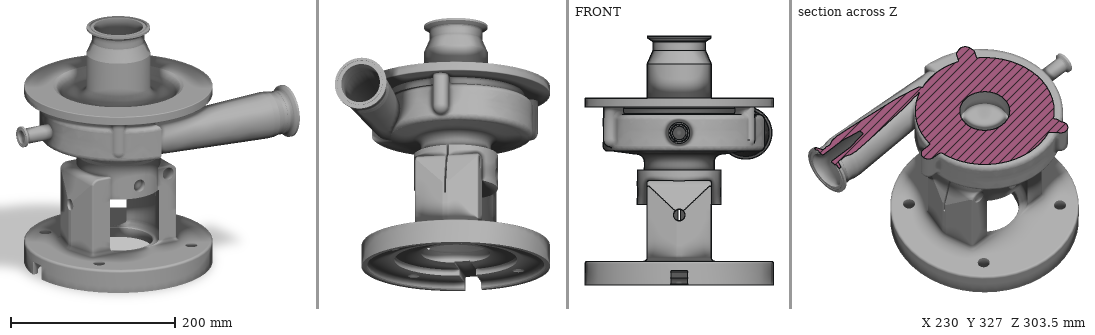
import cadquery as cq
import math

PICK_MARGIN = 0.5
MID_ARC = math.sqrt(0.5)

FLANGE_R = 115.0
BASE_H = 29.0
BASE_EDGE_R = 3.0
BASE_BORE_R = 42.0
BASE_BORE_CHAMFER = 1.0
BOLT_CIRCLE_R = 92.0
BOLT_HOLE_R = 7.3
BOLT_COUNT = 4
PILOT_R = 108.0
PILOT_DEPTH = 8.6
PILOT_ROOT_R = 4.5
PILOT_CHAMFER = 1.3
RELIEF_R = 75.0
RELIEF_DEPTH = 16.2
NOTCH_W = 20.6
NOTCH_H = 17.8
NOTCH_CORNER_R = 1.5

LEG_HALF_W = 39.3
LEG_TOP_Z = 127.2
LEG_SHOULDER_Y = 59.2
LEG_RIDGE_Y = 68.8
LEG_INNER_R = 52.3
LEG_INNER_FOOT_R = 6.5
RIDGE_HALF_W = 2.9
RIDGE_TOP_Z = 88.5
SLANT_TOP_Z = 123.0
LEG_CORNER_R = 2.5
LEG_CREST_R = 11.0
LEG_TOP_SIDE_R = 2.5
LEG_FOOT_R = 4.0
LEG_HOLE_R = 7.0
LEG_HOLE_Z = 85.4
CLAMP_HOLE_R = 7.6
CLAMP_HOLE_Y = 47.4
CLAMP_HOLE_Z = 116.8
CLAMP_SLIT_W = 2.7
CLAMP_SLIT_BOTTOM_Z = 75.0

COLLAR_R = 51.2
COLLAR_BOTTOM_Z = 98.0
COLLAR_TOP_Z = 140.3
COLLAR_HOLE_R = 7.8
COLLAR_HOLE_Z = 113.4
COLLAR_HOLE_DEPTH = 8.0
NECK_R = 42.7
NECK_FILLET_R = 9.5
NECK_STRAIGHT_TOP_Z = 150.0

VOLUTE_START_R = 83.5
VOLUTE_GROWTH = 20.7
VOLUTE_GROWTH_POWER = 1.15
VOLUTE_BOTTOM_Z = 163.2
VOLUTE_TOP_Z = 208.0
VOLUTE_BOTTOM_EDGE_R = 6.0
VOLUTE_TOP_EDGE_R = 6.5
BELLY_R = 80.0
RING_R = 84.0
RING_FOOT = 1.3
GASKET_R = 83.2
GASKET_BOTTOM_Z = 215.3
PLATE_BOTTOM_Z = 216.8

STANDOFF_R = 9.1
STANDOFF_CIRCLE_R = 96.0
STANDOFF_BOTTOM_Z = 168.0
STANDOFF_ANGLES = (90, 210, 330)
STANDOFF_ROOT_R = 70.0
STANDOFF_FILLET_R = 4.0
WEB_JOINT_MIN_H = 15.0

PLATE_TOP_Z = 227.8
PLATE_EDGE_R = 1.0
DISH_RIM_R = 79.4
DISH_WALL_R = 76.0
DISH_RIM_DROP = 2.0
DISH_WALL_FOOT_R = 71.0
DISH_FLOOR_R = 63.0
DISH_FLOOR_Z = 217.0
DISH_CORNER_H = 4.0

PORT_AXIS_Z = 185.4
INLET_R = 39.1
INLET_ROOT_R = 10.0
INLET_CONE_BOTTOM_Z = 269.7
INLET_CONE_TOP_Z = 285.7
INLET_NECK_R = 32.2
INLET_TOP_Z = 303.5
INLET_BORE_R = 30.2
INLET_FERRULE_R = 38.7
INLET_RIM_T = 2.5
INLET_CONE_H = 3.6

OUTLET_X = 81.0
OUTLET_END_Y = 190.2
OUTLET_NECK_R = 26.6
OUTLET_NECK_START_Y = 172.0
WELD_BEAD_START_Y = 176.6
WELD_BEAD_END_Y = 180.0
WELD_BEAD_H = 0.3
OUTLET_SHOULDER_Y = 164.7
OUTLET_SHOULDER_R = 28.2
OUTLET_BULGE_Y = 156.6
OUTLET_BULGE_R = 28.6
OUTLET_ROOT_R = 21.8
OUTLET_BORE_R = 24.0
OUTLET_BORE_END_R = 20.0
OUTLET_BORE_END_Y = 40.0
OUTLET_FERRULE_R = 32.0
OUTLET_RIM_T = 2.8
OUTLET_CONE_H = 3.4

VENT_R = 9.5
VENT_BORE_R = 8.2
VENT_ROOT_Y = -90.0
VENT_END_Y = -136.8
VENT_FERRULE_R = 12.8
VENT_RIM_T = 2.8
VENT_CONE_H = 2.4

GROOVE_SHARE = 0.22
FERRULE_ROOT = 1.2


def cylinder(radius, bottom, top):
    """Vertical cylinder on the main axis."""
    return cq.Workplane("XY").workplane(offset=bottom).circle(radius).extrude(top - bottom)


def revolve_outline(outline):
    """Solid of revolution about the local axis from a closed radius-height outline."""
    return outline.close().revolve(360, (0, 0, 0), (0, 1, 0))


def ferrule(rim_r, neck_r, bore_r, rim_t, cone_h):
    """Clamp ferrule with its face on Z = 0 and its tube side toward -Z."""
    groove_mid_r = (rim_r + bore_r) / 2
    groove_half_w = (rim_r - bore_r) * GROOVE_SHARE / 2
    groove_depth = groove_half_w
    body = revolve_outline(
        cq.Workplane("XZ")
        .moveTo(0, 0)
        .lineTo(rim_r, 0)
        .lineTo(rim_r, -rim_t)
        .lineTo(neck_r + FERRULE_ROOT / 2, -rim_t - cone_h)
        .lineTo(neck_r, -rim_t - cone_h - FERRULE_ROOT)
        .lineTo(0, -rim_t - cone_h - FERRULE_ROOT)
    )
    groove = (
        cq.Workplane("XY")
        .circle(groove_mid_r + groove_half_w)
        .circle(groove_mid_r - groove_half_w)
        .extrude(-groove_depth)
    )
    return body.cut(groove)


def base_flange():
    base = cylinder(FLANGE_R, 0, BASE_H).faces(">Z").edges().fillet(BASE_EDGE_R)
    bolts = (
        cq.Workplane("XY")
        .polarArray(BOLT_CIRCLE_R, 180 / BOLT_COUNT, 360, BOLT_COUNT)
        .circle(BOLT_HOLE_R)
        .extrude(BASE_H)
    )
    pilot = cylinder(PILOT_R, 0, PILOT_DEPTH).faces(">Z").edges().fillet(PILOT_ROOT_R)
    mouth = revolve_outline(
        cq.Workplane("XZ")
        .moveTo(0, 0)
        .lineTo(PILOT_R + PILOT_CHAMFER, 0)
        .lineTo(PILOT_R, PILOT_CHAMFER)
        .lineTo(0, PILOT_CHAMFER)
    )
    relief = cylinder(RELIEF_R, 0, RELIEF_DEPTH)
    notch = (
        cq.Workplane("XY")
        .box(NOTCH_W, FLANGE_R, NOTCH_H, centered=(True, False, False))
        .translate((0, -FLANGE_R, 0))
        .edges("|Y and >Z")
        .fillet(NOTCH_CORNER_R)
    )
    return base.cut(bolts).cut(pilot).cut(mouth).cut(relief).cut(notch)


def leg():
    """Leg on the +Y side: wedge-shaped outer face with a slanted, rounded crest."""
    block = (
        cq.Workplane("XY")
        .workplane(offset=BASE_H)
        .moveTo(-LEG_HALF_W, 0)
        .lineTo(LEG_HALF_W, 0)
        .lineTo(LEG_HALF_W, LEG_SHOULDER_Y)
        .lineTo(RIDGE_HALF_W, LEG_RIDGE_Y)
        .lineTo(-RIDGE_HALF_W, LEG_RIDGE_Y)
        .lineTo(-LEG_HALF_W, LEG_SHOULDER_Y)
        .close()
        .extrude(LEG_TOP_Z - BASE_H)
    )
    slant = (LEG_RIDGE_Y - LEG_SHOULDER_Y) / (SLANT_TOP_Z - RIDGE_TOP_Z)
    crest_y = LEG_SHOULDER_Y - slant * (LEG_TOP_Z - SLANT_TOP_Z)
    side_profile = (
        cq.Workplane("YZ")
        .moveTo(0, BASE_H)
        .lineTo(LEG_RIDGE_Y, BASE_H)
        .lineTo(LEG_RIDGE_Y, RIDGE_TOP_Z)
        .lineTo(crest_y, LEG_TOP_Z)
        .lineTo(0, LEG_TOP_Z)
        .close()
        .extrude(LEG_HALF_W, both=True)
        .edges(cq.selectors.NearestToPointSelector((0, crest_y, LEG_TOP_Z)))
        .fillet(LEG_CREST_R)
        .faces("<X or >X")
        .edges(">Z")
        .fillet(LEG_TOP_SIDE_R)
    )
    outer_corners = cq.selectors.BoxSelector(
        (-LEG_HALF_W - PICK_MARGIN, LEG_SHOULDER_Y - PICK_MARGIN, BASE_H),
        (LEG_HALF_W + PICK_MARGIN, LEG_SHOULDER_Y + PICK_MARGIN, LEG_TOP_Z),
    )
    return block.edges(outer_corners).fillet(LEG_CORNER_R).intersect(side_profile)


def pedestal():
    """Base flange with both legs, foot fillets, the round gap between the legs and the bore."""
    rear_leg = leg()
    front_leg = rear_leg.rotate((0, 0, 0), (0, 0, 1), 180)
    legs = rear_leg.union(front_leg)
    body = base_flange().union(legs)
    foot_edges = cq.selectors.BoxSelector(
        (-LEG_HALF_W - PICK_MARGIN, -LEG_RIDGE_Y - PICK_MARGIN, BASE_H - PICK_MARGIN),
        (LEG_HALF_W + PICK_MARGIN, LEG_RIDGE_Y + PICK_MARGIN, BASE_H + PICK_MARGIN),
    )
    body = body.edges(foot_edges).fillet(LEG_FOOT_R)
    leg_gap = cylinder(LEG_INNER_R, BASE_H, COLLAR_BOTTOM_Z)
    leg_gap = leg_gap.faces("<Z").edges().fillet(LEG_INNER_FOOT_R)
    bore = cylinder(BASE_BORE_R, 0, BASE_H)
    bore_lip = revolve_outline(
        cq.Workplane("XZ")
        .moveTo(0, BASE_H)
        .lineTo(BASE_BORE_R + BASE_BORE_CHAMFER, BASE_H)
        .lineTo(BASE_BORE_R, BASE_H - BASE_BORE_CHAMFER)
        .lineTo(0, BASE_H - BASE_BORE_CHAMFER)
    )
    sight_hole = (
        cq.Workplane("XZ").center(0, LEG_HOLE_Z).circle(LEG_HOLE_R).extrude(FLANGE_R)
    )
    return body.cut(leg_gap).cut(bore).cut(bore_lip).cut(sight_hole)


def collar():
    body = cylinder(COLLAR_R, COLLAR_BOTTOM_Z, COLLAR_TOP_Z)
    for side in (-1, 1):
        hole = (
            cq.Workplane("YZ")
            .workplane(offset=side * COLLAR_R)
            .center(0, COLLAR_HOLE_Z)
            .circle(COLLAR_HOLE_R)
            .extrude(-side * COLLAR_HOLE_DEPTH)
        )
        body = body.cut(hole)
    return body


def clamp_cut():
    """Bolt hole and slit that let the +Y leg clamp the collar."""
    bolt_hole = (
        cq.Workplane("YZ")
        .center(CLAMP_HOLE_Y, CLAMP_HOLE_Z)
        .circle(CLAMP_HOLE_R)
        .extrude(LEG_HALF_W, both=True)
    )
    slit = (
        cq.Workplane("XY")
        .box(
            CLAMP_SLIT_W,
            LEG_RIDGE_Y - NECK_R,
            COLLAR_TOP_Z - CLAMP_SLIT_BOTTOM_Z,
            centered=(True, False, False),
        )
        .translate((0, NECK_R, CLAMP_SLIT_BOTTOM_Z))
    )
    return bolt_hole.union(slit)


def volute():
    """Spiral casing whose radius grows counter-clockwise over one turn from +X."""

    def spiral_point(turn):
        radius = VOLUTE_START_R + VOLUTE_GROWTH * turn**VOLUTE_GROWTH_POWER
        angle = 2 * math.pi * turn
        return (radius * math.cos(angle), radius * math.sin(angle))

    return (
        cq.Workplane("XY")
        .workplane(offset=VOLUTE_BOTTOM_Z)
        .parametricCurve(spiral_point, makeWire=False)
        .lineTo(VOLUTE_START_R, 0)
        .wire()
        .extrude(VOLUTE_TOP_Z - VOLUTE_BOTTOM_Z)
        .faces(">Z")
        .edges("not #X")
        .fillet(VOLUTE_TOP_EDGE_R)
        .faces("<Z")
        .edges("not #X")
        .fillet(VOLUTE_BOTTOM_EDGE_R)
    )


def neck_and_ring():
    """Neck, conical underside and upper ring of the casing, turned about the main axis."""
    belly_inner_r = NECK_R + NECK_FILLET_R
    belly_inner_z = NECK_STRAIGHT_TOP_Z + NECK_FILLET_R
    bend = NECK_FILLET_R * MID_ARC
    return revolve_outline(
        cq.Workplane("XZ")
        .moveTo(0, COLLAR_TOP_Z)
        .lineTo(NECK_R, COLLAR_TOP_Z)
        .lineTo(NECK_R, NECK_STRAIGHT_TOP_Z)
        .threePointArc(
            (belly_inner_r - bend, NECK_STRAIGHT_TOP_Z + bend),
            (belly_inner_r, belly_inner_z),
        )
        .lineTo(BELLY_R, VOLUTE_BOTTOM_Z)
        .lineTo(BELLY_R, VOLUTE_TOP_Z)
        .lineTo(RING_R + RING_FOOT, VOLUTE_TOP_Z)
        .lineTo(RING_R, VOLUTE_TOP_Z + RING_FOOT)
        .lineTo(RING_R, GASKET_BOTTOM_Z)
        .lineTo(GASKET_R, GASKET_BOTTOM_Z)
        .lineTo(GASKET_R, PLATE_BOTTOM_Z)
        .lineTo(0, PLATE_BOTTOM_Z)
    )


def standoff(angle):
    """Round-ended post under the plate, joined to the casing by a web of the same width."""
    spring_z = STANDOFF_BOTTOM_Z + STANDOFF_R
    height = PLATE_BOTTOM_Z - spring_z
    web_length = STANDOFF_CIRCLE_R - STANDOFF_ROOT_R
    post = (
        cq.Workplane("XY")
        .workplane(offset=spring_z)
        .center(STANDOFF_CIRCLE_R, 0)
        .circle(STANDOFF_R)
        .extrude(height)
    )
    tip = cq.Workplane("XY").sphere(STANDOFF_R).translate((STANDOFF_CIRCLE_R, 0, spring_z))
    web = (
        cq.Workplane("XY")
        .box(web_length, 2 * STANDOFF_R, height, centered=(False, True, False))
        .translate((STANDOFF_ROOT_R, 0, spring_z))
    )
    web_floor = (
        cq.Workplane("YZ")
        .workplane(offset=STANDOFF_ROOT_R)
        .center(0, spring_z)
        .circle(STANDOFF_R)
        .extrude(web_length)
    )
    return post.union(tip).union(web).union(web_floor).rotate((0, 0, 0), (0, 0, 1), angle)


def casing():
    """Volute, neck, ring and standoffs, with the upright web joints filleted."""
    body = volute().union(neck_and_ring())
    for angle in STANDOFF_ANGLES:
        body = body.union(standoff(angle))
    web_joints = [
        edge
        for edge in body.edges("%BSPLINE").vals()
        if edge.BoundingBox().zlen > WEB_JOINT_MIN_H
    ]
    return body.newObject(web_joints).fillet(STANDOFF_FILLET_R)


def plate():
    """Upper plate with a dished recess and the inlet tube rising from its floor."""
    disc = cylinder(FLANGE_R, PLATE_BOTTOM_Z, PLATE_TOP_Z)
    disc = disc.faces("<Z or >Z").edges().fillet(PLATE_EDGE_R)
    tube_foot_r = INLET_R + INLET_ROOT_R
    bend = INLET_ROOT_R * MID_ARC
    dish = revolve_outline(
        cq.Workplane("XZ")
        .moveTo(INLET_R, PLATE_TOP_Z)
        .lineTo(INLET_R, DISH_FLOOR_Z + INLET_ROOT_R)
        .threePointArc(
            (tube_foot_r - bend, DISH_FLOOR_Z + INLET_ROOT_R - bend),
            (tube_foot_r, DISH_FLOOR_Z),
        )
        .lineTo(DISH_FLOOR_R, DISH_FLOOR_Z)
        .tangentArcPoint((DISH_WALL_FOOT_R, DISH_FLOOR_Z + DISH_CORNER_H), relative=False)
        .lineTo(DISH_WALL_R, PLATE_TOP_Z - DISH_RIM_DROP)
        .lineTo(DISH_RIM_R, PLATE_TOP_Z)
    )
    return disc.cut(dish)


def inlet():
    tube = revolve_outline(
        cq.Workplane("XZ")
        .moveTo(0, DISH_FLOOR_Z)
        .lineTo(INLET_R, DISH_FLOOR_Z)
        .lineTo(INLET_R, INLET_CONE_BOTTOM_Z)
        .lineTo(INLET_NECK_R, INLET_CONE_TOP_Z)
        .lineTo(INLET_NECK_R, INLET_TOP_Z - INLET_RIM_T)
        .lineTo(0, INLET_TOP_Z - INLET_RIM_T)
    )
    end = ferrule(INLET_FERRULE_R, INLET_NECK_R, INLET_BORE_R, INLET_RIM_T, INLET_CONE_H)
    return tube.union(end.translate((0, 0, INLET_TOP_Z)))


def along_outlet(shape):
    """Turns a solid built along +Z so that it runs along +Y on the outlet axis."""
    return shape.rotate((0, 0, 0), (1, 0, 0), -90).translate((OUTLET_X, 0, PORT_AXIS_Z))


def outlet():
    tube = revolve_outline(
        cq.Workplane("XZ")
        .moveTo(0, 0)
        .lineTo(OUTLET_ROOT_R, 0)
        .lineTo(OUTLET_BULGE_R, OUTLET_BULGE_Y)
        .lineTo(OUTLET_SHOULDER_R, OUTLET_SHOULDER_Y)
        .lineTo(OUTLET_NECK_R, OUTLET_NECK_START_Y)
        .lineTo(OUTLET_NECK_R, OUTLET_END_Y - OUTLET_RIM_T)
        .lineTo(0, OUTLET_END_Y - OUTLET_RIM_T)
    )
    end = ferrule(OUTLET_FERRULE_R, OUTLET_NECK_R, OUTLET_BORE_R, OUTLET_RIM_T, OUTLET_CONE_H)
    bead = cylinder(OUTLET_NECK_R + WELD_BEAD_H, WELD_BEAD_START_Y, WELD_BEAD_END_Y)
    return along_outlet(tube.union(bead).union(end.translate((0, 0, OUTLET_END_Y))))


def outlet_bore():
    return along_outlet(
        revolve_outline(
            cq.Workplane("XZ")
            .moveTo(0, OUTLET_BORE_END_Y)
            .lineTo(OUTLET_BORE_END_R, OUTLET_BORE_END_Y)
            .lineTo(OUTLET_BORE_R, OUTLET_BULGE_Y)
            .lineTo(OUTLET_BORE_R, OUTLET_END_Y)
            .lineTo(0, OUTLET_END_Y)
        )
    )


def along_vent(shape):
    """Turns a solid built along +Z so that it runs along -Y on the vent axis."""
    return shape.rotate((0, 0, 0), (1, 0, 0), 90).translate((0, 0, PORT_AXIS_Z))


def vent():
    tube = cylinder(VENT_R, -VENT_ROOT_Y, -VENT_END_Y - VENT_RIM_T)
    end = ferrule(VENT_FERRULE_R, VENT_R, VENT_BORE_R, VENT_RIM_T, VENT_CONE_H)
    return along_vent(tube.union(end.translate((0, 0, -VENT_END_Y))))


def build():
    body = pedestal().union(collar()).cut(clamp_cut())
    body = body.union(casing()).union(plate())
    body = body.union(inlet()).union(outlet()).union(vent())
    inlet_bore = cylinder(INLET_BORE_R, PORT_AXIS_Z, INLET_TOP_Z)
    vent_bore = along_vent(cylinder(VENT_BORE_R, -VENT_ROOT_Y, -VENT_END_Y))
    return body.cut(inlet_bore).cut(outlet_bore()).cut(vent_bore)


result = build()